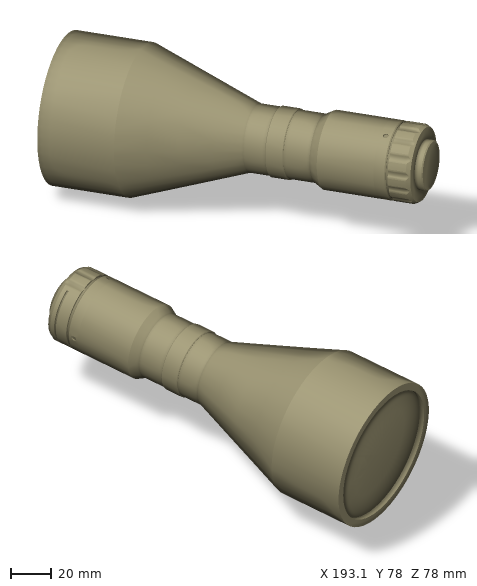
import cadquery as cq
import math

LENGTH = 193.1
HOOD_END = 40.4
CONE_END = 100.5
BAND_START = 112.0
BAND_END = 121.7
NECK_END = 135.4
BARREL_START = 140.2
JOINT = 170.1
COLLAR_END = 176.3
RING_START = 177.5
RING_END = 189.0

HOOD_RADIUS = 39.0
GLASS_RADIUS = 35.0
NECK_RADIUS = 17.4
BAND_RADIUS = 18.0
BAND_CHAMFER = 0.4
BARREL_RADIUS = 20.0
THREAD_RADIUS = 12.7

GLASS_RECESS = 2.7
GLASS_DOME = 2.0

RELIEF_DEPTH = 1.0
RELIEF_RADIUS = BARREL_RADIUS - RELIEF_DEPTH
COLLAR_CHAMFER = 0.5
THREAD_CHAMFER = 0.5
RING_BEVEL_LENGTH = 2.1
RING_BEVEL_DROP = 1.2

SCREW_COUNT = 3
SCREW_FIRST_ANGLE = 60.0
SCREW_DIAMETER = 2.7
SCREW_DEPTH = 0.8
SCREW_X = 172.9

GRIP_ANGLE = 30.0
GROOVE_COUNT = 7
GROOVE_PITCH = 25.0
GROOVE_RADIUS = 2.5
GROOVE_DEPTH = 0.8
GROOVE_LIP = 1.7

SLIT_X = 183.7
SLIT_WIDTH = 1.2
SLIT_SPAN = 186.0


def disc(start, end, radius):
    """Cylinder on the X axis between two stations."""
    return cq.Workplane("YZ", origin=(start, 0, 0)).circle(radius).extrude(end - start)


def turn_about_axis(shape, angle):
    """Turn a shape built on the -Y side about X, towards +Z for positive angles."""
    return shape.rotate((0, 0, 0), (1, 0, 0), -angle)


def make_lens_barrel():
    """Hood, cone, neck with its band, and rear barrel, turned as one body."""
    dome_mid_radius = GLASS_RADIUS / 2
    apex_x = GLASS_RECESS - GLASS_DOME
    sphere_radius = (GLASS_RADIUS**2 + GLASS_DOME**2) / (2 * GLASS_DOME)
    dome_mid_x = apex_x + sphere_radius - math.sqrt(sphere_radius**2 - dome_mid_radius**2)
    profile = (
        cq.Workplane("XY")
        .moveTo(apex_x, 0)
        .threePointArc((dome_mid_x, dome_mid_radius), (GLASS_RECESS, GLASS_RADIUS))
        .lineTo(0, GLASS_RADIUS)
        .lineTo(0, HOOD_RADIUS)
        .lineTo(HOOD_END, HOOD_RADIUS)
        .lineTo(CONE_END, NECK_RADIUS)
        .lineTo(BAND_START, NECK_RADIUS)
        .lineTo(BAND_START, BAND_RADIUS - BAND_CHAMFER)
        .lineTo(BAND_START + BAND_CHAMFER, BAND_RADIUS)
        .lineTo(BAND_END - BAND_CHAMFER, BAND_RADIUS)
        .lineTo(BAND_END, BAND_RADIUS - BAND_CHAMFER)
        .lineTo(BAND_END, NECK_RADIUS)
        .lineTo(NECK_END, NECK_RADIUS)
        .lineTo(BARREL_START, BARREL_RADIUS)
        .lineTo(JOINT, BARREL_RADIUS)
        .lineTo(JOINT, 0)
        .close()
    )
    return profile.revolve(360, (0, 0, 0), (1, 0, 0))


def make_collar():
    """Collar with radial set-screw holes."""
    collar = disc(JOINT, COLLAR_END, BARREL_RADIUS).faces(">X").chamfer(COLLAR_CHAMFER)
    hole = (
        cq.Workplane("XZ", origin=(SCREW_X, -BARREL_RADIUS + SCREW_DEPTH, 0))
        .circle(SCREW_DIAMETER / 2)
        .extrude(2 * SCREW_DEPTH)
    )
    for index in range(SCREW_COUNT):
        collar = collar.cut(turn_about_axis(hole, SCREW_FIRST_ANGLE + index * 360 / SCREW_COUNT))
    return collar


def make_slit_cutter():
    """Part-turn ring that cuts the slit, centred opposite the grip."""
    cutter = (
        cq.Workplane("XY")
        .moveTo(SLIT_X, -RELIEF_RADIUS)
        .hLine(SLIT_WIDTH)
        .vLine(-2 * RELIEF_DEPTH)
        .hLine(-SLIT_WIDTH)
        .close()
        .revolve(SLIT_SPAN, (0, 0, 0), (1, 0, 0))
    )
    return cutter.rotate((0, 0, 0), (1, 0, 0), 180 - GRIP_ANGLE - SLIT_SPAN / 2)


def make_grip_ring():
    """Grip ring with bevelled rear edge, round-lipped finger grooves and half slit."""
    ring = disc(RING_START, RING_END, BARREL_RADIUS)
    groove = disc(RING_START, RING_END, GROOVE_RADIUS).translate(
        (0, -(BARREL_RADIUS - GROOVE_DEPTH + GROOVE_RADIUS), 0)
    )
    first_angle = GRIP_ANGLE - GROOVE_PITCH * (GROOVE_COUNT - 1) / 2
    for index in range(GROOVE_COUNT):
        ring = ring.cut(turn_about_axis(groove, first_angle + index * GROOVE_PITCH))
    lips = cq.selectors.BoxSelector(
        (RING_START, -BARREL_RADIUS, -BARREL_RADIUS), (RING_END, BARREL_RADIUS / 2, BARREL_RADIUS)
    )
    ring = ring.edges("|X").edges(lips).fillet(GROOVE_LIP)

    disc_rim = disc(RING_START, RING_END, BARREL_RADIUS).faces(">X").edges()
    ring = ring.intersect(disc_rim.chamfer(RING_BEVEL_LENGTH, RING_BEVEL_DROP))
    return ring.cut(make_slit_cutter())


def make_camera_mount():
    """Collar, relief neck, grip ring and threaded stub as one body."""
    relief = disc(JOINT, RING_START, RELIEF_RADIUS)
    stub = disc(RING_END, LENGTH, THREAD_RADIUS).faces(">X").chamfer(THREAD_CHAMFER)
    return make_collar().union(relief).union(make_grip_ring()).union(stub)


lens_barrel = make_lens_barrel()
camera_mount = make_camera_mount()

result = cq.Compound.makeCompound([lens_barrel.val(), camera_mount.val()])